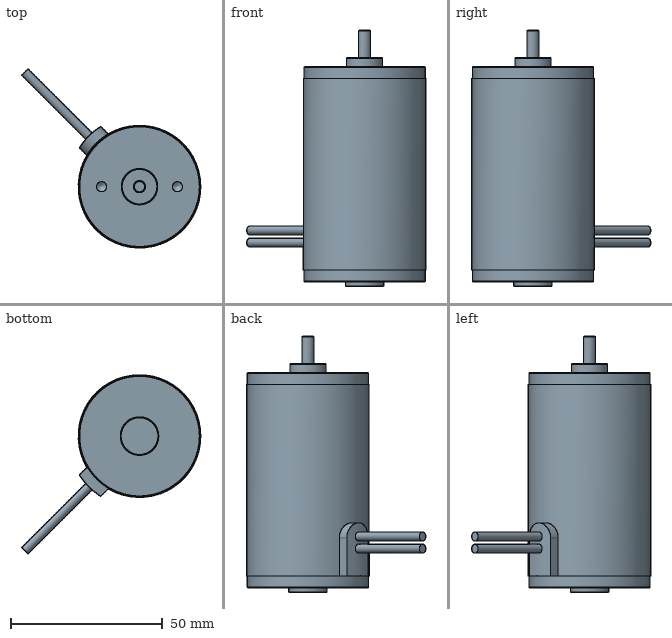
import cadquery as cq
import math

body_diameter = 40.4
cap_diameter = 40.0
cap_height = 4.0
housing_length = 71.0
body_length = housing_length - 2 * cap_height
rear_cap_top = cap_height - housing_length
cap_chamfer = 0.3

pilot_diameter = 12.0
pilot_height = 3.0
shaft_diameter = 4.0
shaft_length = 12.0
rear_boss_diameter = 12.7
rear_boss_height = 1.5
end_chamfer = 0.3

hole_diameter = 3.3
hole_spacing = 25.0
hole_depth = 6.0
drill_point_angle = 118.0

outlet_angle = 135.0
pad_width = 10.0
pad_height = 17.5
pad_outer_radius = 23.6
lead_diameter = 3.0
lead_reach = 53.4
lead_heights = (9.0, 13.0)


def end_disc(diameter, start, height, chamfer):
    """Disc on the shaft axis with its free end chamfered; a negative height grows downwards."""
    free_end = ">Z" if height > 0 else "<Z"
    disc = cq.Workplane("XY").workplane(offset=start).circle(diameter / 2).extrude(height)
    return disc.faces(free_end).edges().chamfer(chamfer)


def make_housing():
    body = cq.Workplane("XY").workplane(offset=rear_cap_top).circle(body_diameter / 2).extrude(body_length)
    front_cap = end_disc(cap_diameter, -cap_height, cap_height, cap_chamfer)
    rear_cap = end_disc(cap_diameter, rear_cap_top, -cap_height, cap_chamfer)
    return body.union(front_cap).union(rear_cap)


def make_mounting_hole(x):
    radius = hole_diameter / 2
    point_depth = radius / math.tan(math.radians(drill_point_angle / 2))
    profile = (
        cq.Workplane("XZ")
        .moveTo(0, 0)
        .lineTo(radius, 0)
        .lineTo(radius, -hole_depth)
        .lineTo(0, -hole_depth - point_depth)
        .close()
    )
    return profile.revolve(360, (0, 0, 0), (0, 1, 0)).translate((x, 0, 0))


def make_outlet_pad():
    """Round-topped pad standing on the rear cap, its outer face concentric with the body."""
    half_width = pad_width / 2
    shoulder = pad_height - half_width
    block = (
        cq.Workplane("YZ")
        .moveTo(-half_width, 0)
        .lineTo(half_width, 0)
        .lineTo(half_width, shoulder)
        .threePointArc((0, pad_height), (-half_width, shoulder))
        .close()
        .extrude(pad_outer_radius)
    )
    envelope = cq.Workplane("XY").circle(pad_outer_radius).extrude(pad_height)
    return block.intersect(envelope)


def make_lead(height):
    return cq.Workplane("YZ").center(0, height).circle(lead_diameter / 2).extrude(lead_reach)


def make_cable_outlet():
    outlet = make_outlet_pad()
    for height in lead_heights:
        outlet = outlet.union(make_lead(height))
    return outlet.rotate((0, 0, 0), (0, 0, 1), outlet_angle).translate((0, 0, rear_cap_top))


result = make_housing()
result = result.union(end_disc(pilot_diameter, 0, pilot_height, end_chamfer))
result = result.union(end_disc(shaft_diameter, 0, shaft_length, end_chamfer))
result = result.union(end_disc(rear_boss_diameter, -housing_length, -rear_boss_height, end_chamfer))
result = result.union(make_cable_outlet())
for side in (-1, 1):
    result = result.cut(make_mounting_hole(side * hole_spacing / 2))